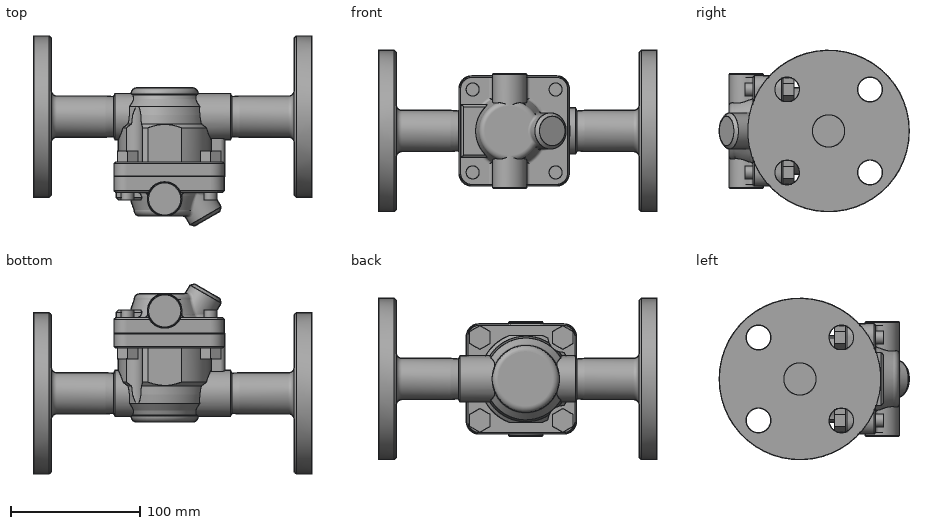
import cadquery as cq
import math

overall_length = 215.0
flange_dia = 125.0
flange_thickness = 13.8
flange_chamfer = 1.7
bolt_hole_dia = 19.0
bolt_hole_offset = 32.0
pipe_dia = 32.0
pipe_fillet = 4.0
bore_dia = 25.0
bore_depth = 10.8
hub_dia = 36.0
hub_half_length = 44.5
hub_taper = 1.3
stub_dia = 31.2
stub_end_x = 51.5

body_x = -6.2
body_radius = 36.0
neck_radius = 33.1
neck_y = -5.5
shoulder_y = -8.5
body_flat_z = 33.5
rim_radius = 26.0
rim_y = 22.4
rim_rounding = 4.7
rim_thickness = 5.5
rim_groove_radius = 25.4
cone_start_radius = 26.9
cone_start_y = 13.3
cone_end_radius = 31.5
cone_end_y = 7.7
collar_radius = 32.7
collar_y = 1.0

joint_x = -2.8
joint_width = 85.4
joint_corner_radius = 10.0
joint_chamfer = 1.3
joint_back_y = -35.0
joint_split_y = -46.2
joint_front_y = -58.5
split_groove_width = 0.5
split_groove_depth = 0.5

bolt_x_offset = 32.0
bolt_z_offset = 32.0
bolt_dia = 10.0
bolt_end_y = -64.5
nut_across_flats = 16.0
nut_height = 8.4
nut_clearance_radius = 11.5

bonnet_y = -77.0
bonnet_radius = 23.6
bonnet_base_radius = 27.5
bonnet_rounding = 4.5
cross_boss_dia = 26.7
cross_boss_length = 89.0
cross_boss_chamfer = 0.9
cover_fillet = 2.5
pad_end_y = -64.5
pad_height = 41.3
pad_edge_gap = 1.7
pad_chamfer = 2.0

plug_tilt = 30.0
plug_dia = 28.0
plug_face_x = 26.7
plug_face_y = -79.0
plug_chamfer = 2.5
plug_length = 28.0
plug_fillet = 2.2

lug_start_x = 29.9
lug_end_x = 40.5
lug_width = 12.5
lug_rounding = 3.5


def y_cylinder(x, z, dia, y_from, y_to):
    """Cylinder parallel to Y running from y_from toward -Y down to y_to."""
    plane = cq.Plane(origin=(x, y_from, z), xDir=(1, 0, 0), normal=(0, -1, 0))
    return cq.Workplane(plane).circle(dia / 2).extrude(y_from - y_to)


def joint_plate(y_from, y_to, inset=0.0):
    """Square plate with rounded corners, from y_from toward -Y to y_to."""
    width = joint_width - 2 * inset
    plane = cq.Plane(origin=(joint_x, y_from, 0), xDir=(1, 0, 0), normal=(0, -1, 0))
    plate = cq.Workplane(plane).rect(width, width).extrude(y_from - y_to)
    return plate.edges("|Y").fillet(joint_corner_radius - inset)


def pipe_end():
    """Outlet half of the line: hub, pipe and drilled flange."""
    end_x = overall_length / 2
    inner_face_x = end_x - flange_thickness
    pipe_r = pipe_dia / 2
    flange_r = flange_dia / 2
    fillet_r = pipe_r + pipe_fillet
    arc_part = pipe_fillet * (1 - math.sqrt(0.5))
    half = (
        cq.Workplane("XY")
        .moveTo(0, 0)
        .lineTo(0, hub_dia / 2)
        .lineTo(hub_half_length, hub_dia / 2)
        .lineTo(hub_half_length + hub_taper, stub_dia / 2)
        .lineTo(stub_end_x, pipe_r)
        .lineTo(inner_face_x - pipe_fillet, pipe_r)
        .threePointArc((inner_face_x - arc_part, pipe_r + arc_part), (inner_face_x, fillet_r))
        .lineTo(inner_face_x, flange_r - flange_chamfer)
        .lineTo(inner_face_x + flange_chamfer, flange_r)
        .lineTo(end_x, flange_r)
        .lineTo(end_x, 0)
        .close()
        .revolve(360, (0, 0, 0), (1, 0, 0))
    )
    hole_spacing = 2 * bolt_hole_offset
    holes = (
        cq.Workplane("YZ", origin=(inner_face_x, 0, 0))
        .rect(hole_spacing, hole_spacing, forConstruction=True)
        .vertices()
        .circle(bolt_hole_dia / 2)
        .extrude(flange_thickness)
    )
    bore = cq.Workplane("YZ", origin=(end_x - bore_depth, 0, 0)).circle(bore_dia / 2).extrude(bore_depth)
    return half.cut(holes).cut(bore)


def valve_body():
    """Turned body with rolled rim, cone neck and flat sides."""
    profile = (
        cq.Workplane("XY", origin=(body_x, 0, 0))
        .moveTo(0, rim_y)
        .lineTo(rim_radius - rim_rounding, rim_y)
        .radiusArc((rim_radius, rim_y - rim_rounding), rim_rounding)
        .lineTo(rim_groove_radius, rim_y - rim_thickness)
        .lineTo(cone_start_radius, cone_start_y)
        .lineTo(cone_end_radius, cone_end_y)
        .lineTo(collar_radius, collar_y)
        .lineTo(neck_radius, neck_y)
        .lineTo(body_radius, shoulder_y)
        .lineTo(body_radius, joint_split_y)
        .lineTo(0, joint_split_y)
        .close()
    )
    body = profile.revolve(360, (0, 0, 0), (0, 1, 0))
    height = rim_y - joint_split_y
    flats = cq.Workplane("XY").box(3 * body_radius, height, 2 * body_flat_z)
    return body.intersect(flats.translate((body_x, rim_y - height / 2, 0)))


def nut_clearance(x, z):
    """Round-ended slot around a bolt axis, open away from the middle of the body."""
    length_y = rim_y - joint_back_y
    side = math.copysign(1, x)
    round_end = y_cylinder(x, z, 2 * nut_clearance_radius, rim_y, joint_back_y)
    opening = cq.Workplane("XY").box(body_radius, length_y, 2 * nut_clearance_radius)
    return round_end.union(opening.translate((x + side * body_radius / 2, rim_y - length_y / 2, z)))


def joint():
    """Body flange and cover with chamfered outer edges and a fine parting groove."""
    plates = joint_plate(joint_back_y, joint_front_y)
    plates = plates.faces("<Y or >Y").chamfer(joint_chamfer)
    groove_top = joint_split_y + split_groove_width / 2
    groove_end = groove_top - split_groove_width
    core = joint_plate(groove_top, groove_end, split_groove_depth)
    ring = joint_plate(groove_top, groove_end).cut(core)
    return plates.cut(ring)


def cover_bosses():
    """Round bonnet with the vertical boss across it, and the flat side pad."""
    foot_radius = bonnet_base_radius + cover_fillet
    bonnet = (
        cq.Workplane("XY", origin=(body_x, 0, 0))
        .moveTo(0, joint_split_y)
        .lineTo(foot_radius, joint_split_y)
        .lineTo(foot_radius, joint_front_y)
        .radiusArc((bonnet_base_radius, joint_front_y - cover_fillet), -cover_fillet)
        .lineTo(bonnet_radius, bonnet_y + bonnet_rounding)
        .radiusArc((bonnet_radius - bonnet_rounding, bonnet_y), bonnet_rounding)
        .lineTo(0, bonnet_y)
        .close()
        .revolve(360, (0, 0, 0), (0, 1, 0))
    )
    cross_y = bonnet_y + cross_boss_dia / 2
    cross = (
        cq.Workplane("XY", origin=(body_x, cross_y, -cross_boss_length / 2))
        .circle(cross_boss_dia / 2)
        .extrude(cross_boss_length)
        .faces("<Z or >Z")
        .chamfer(cross_boss_chamfer)
    )
    cross_r = cross_boss_dia / 2
    foot_half = cross_r + cover_fillet
    foot_length = joint_width - 2 * joint_chamfer
    cross_foot = (
        cq.Workplane("XY", origin=(body_x, 0, -foot_length / 2))
        .moveTo(-foot_half, joint_split_y)
        .lineTo(-foot_half, joint_front_y)
        .radiusArc((-cross_r, joint_front_y - cover_fillet), cover_fillet)
        .lineTo(-cross_r, cross_y)
        .lineTo(cross_r, cross_y)
        .lineTo(cross_r, joint_front_y - cover_fillet)
        .radiusArc((foot_half, joint_front_y), cover_fillet)
        .lineTo(foot_half, joint_split_y)
        .close()
        .extrude(foot_length)
    )

    pad_start_x = joint_x - joint_width / 2 + pad_edge_gap
    pad = (
        cq.Workplane("XY")
        .box(body_x - pad_start_x, joint_front_y - pad_end_y, pad_height, centered=(False, False, True))
        .translate((pad_start_x, pad_end_y, 0))
        .faces("<Y")
        .chamfer(pad_chamfer)
    )
    return bonnet.union(cross).union(cross_foot).union(pad)


def plug():
    """Chamfered plug tilted about Z, rooted in the bonnet."""
    tilt = math.radians(plug_tilt)
    inward = (-math.sin(tilt), math.cos(tilt), 0)
    plane = cq.Plane(origin=(plug_face_x, plug_face_y, 0), xDir=(0, 0, 1), normal=inward)
    body = cq.Workplane(plane).circle(plug_dia / 2).extrude(plug_length)
    outer_end = cq.selectors.DirectionMinMaxSelector(cq.Vector(*inward), False)
    return body.faces(outer_end).chamfer(plug_chamfer)


def cover_assembly():
    """Joint plates, bosses and plug, with the plug blended into its surroundings."""
    cover = joint().union(cover_bosses()).union(plug())
    plug_middle = cq.selectors.NearestToPointSelector((plug_face_x, plug_face_y, 0))
    plug_wall = cover.faces("%CYLINDER").faces(plug_middle)
    return plug_wall.edges("not (%CIRCLE or %LINE)").fillet(plug_fillet)


def drain_lug():
    """Rounded web joining the outlet hub to the body flange."""
    length_x = lug_end_x - lug_start_x
    lug = cq.Workplane("XY").box(length_x, -joint_split_y, lug_width, centered=(False, False, True))
    lug = lug.edges("|Y and >X").fillet(lug_rounding)
    return lug.translate((lug_start_x, joint_split_y, 0))


def bolt_set(x, z):
    """Bolt end in front of the cover and hexagon nut behind the flange."""
    nut_back_y = joint_back_y + nut_height
    nut_plane = cq.Plane(origin=(x, nut_back_y, z), xDir=(0, 0, 1), normal=(0, -1, 0))
    across_corners = nut_across_flats / math.cos(math.pi / 6)
    nut = cq.Workplane(nut_plane).polygon(6, across_corners).extrude(nut_height)
    return nut.union(y_cylinder(x, z, bolt_dia, joint_back_y, bolt_end_y))


outlet = pipe_end()
line = outlet.union(outlet.mirror("YZ"))

bolt_places = [
    (joint_x + side * bolt_x_offset, level * bolt_z_offset) for side in (-1, 1) for level in (-1, 1)
]

body = valve_body()
for bolt_x, bolt_z in bolt_places:
    body = body.cut(nut_clearance(bolt_x, bolt_z))

result = line.union(body).union(drain_lug()).union(cover_assembly())
for bolt_x, bolt_z in bolt_places:
    result = result.union(bolt_set(bolt_x, bolt_z))